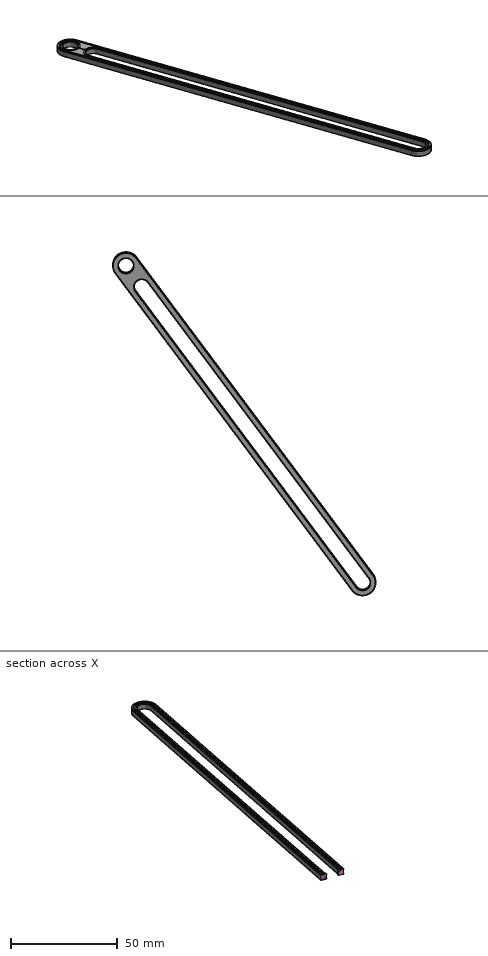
import cadquery as cq

length = 200.0
width = 12.5
thickness = 3.12

opening_width = 7.0
hole_to_slot = 12.5

edge_chamfer = 0.3

rim_width = 1.1
recess_depth = 0.2
rib_width = 0.1

end_center = (length - width) / 2
hole_center = -end_center
slot_start = hole_center + hole_to_slot
slot_end = end_center
recess_floor = thickness - recess_depth


def round_ended_bar(start, end, across, bottom, height):
    """Upright bar whose end arcs are centred at X = start and X = end."""
    return (
        cq.Workplane("XY", origin=((start + end) / 2, 0, bottom))
        .slot2D(end - start + across, across)
        .extrude(height)
    )


def cylinder(center, across, bottom, height):
    """Upright cylinder centred at X = center."""
    return cq.Workplane("XY", origin=(center, 0, bottom)).circle(across / 2).extrude(height)


def openings(across, bottom, height):
    """The hole and the slot as solids, both with the given width."""
    hole = cylinder(hole_center, across, bottom, height)
    slot = round_ended_bar(slot_start, slot_end, across, bottom, height)
    return hole.union(slot)


def link_body():
    """Link with its two through openings and all edges chamfered."""
    outline = round_ended_bar(-end_center, end_center, width, 0, thickness)
    drilled = outline.cut(openings(opening_width, 0, thickness))
    return drilled.faces("<Z or >Z").edges().chamfer(edge_chamfer)


def top_recess():
    """Volume removed from the top face between the outer rim, opening rims and rib."""
    inside_outer_rim = width - 2 * rim_width
    outside_opening_rim = opening_width + 2 * rim_width
    pocket = round_ended_bar(-end_center, end_center, inside_outer_rim, recess_floor, recess_depth)
    opening_rims = openings(outside_opening_rim, recess_floor, recess_depth)
    rib = (
        cq.Workplane("XY", origin=((hole_center + slot_start) / 2, 0, recess_floor))
        .rect(hole_to_slot, rib_width)
        .extrude(recess_depth)
    )
    return pocket.cut(opening_rims).cut(rib)


result = link_body().cut(top_recess())